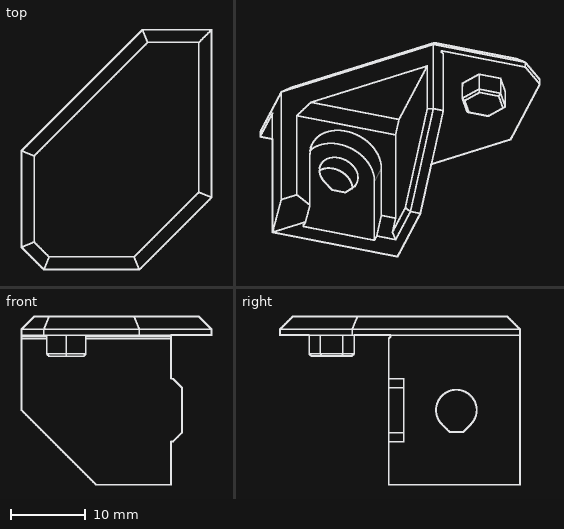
import cadquery as cq
import math

LENGTH_X = 25.4
LENGTH_Y = 32.05
HEIGHT = 22.5

PLATE_THICKNESS = 2.5
PLATE_CHAMFER = 1.7
LEFT_CORNER_CUT = 3.0
RIGHT_CORNER_CUT = 9.65
SLANT_CUT = 16.15
SLANT_START_Y = LENGTH_Y - SLANT_CUT
PLATE_BOTTOM = HEIGHT - PLATE_THICKNESS

BRACKET_X = 20.0
BRACKET_FRONT_Y = 14.5
BRACKET_CORNER_CUT = 10.0
WEB_THICKNESS = 2.05
WEB_INNER_Y = BRACKET_FRONT_Y + WEB_THICKNESS
WEB_CHAMFER = WEB_INNER_Y - SLANT_START_Y

RELIEF_DEPTH = 0.25
RELIEF_STRAIGHT = 0.2

WALL_X = 14.5
CEILING_Z = 17.5
CEILING_BEVEL = 1.5
WALL_FOOT_BEVEL = 2.0
SLANT_FOOT_BEVEL = 2.7

HOLE_Y = 23.55
HOLE_Z = 10.0
HOLE_RADIUS = 2.7
HOLE_FLAT_DROP = 2.9
RECESS_RADIUS = 5.0
RECESS_FLOOR_X = 17.5

TONGUE_LENGTH = 1.45
TONGUE_BEVEL = 1.2
TONGUE_HALF_HEIGHT = 4.2

PEG_X = 6.0
PEG_Y = 6.9
PEG_DIAMETER = 6.05
PEG_LENGTH = 2.8
PEG_CHAMFER = 0.3


def extrude_xz(points, y_start, y_end):
    """Extrude an X-Z outline along +Y."""
    plane = cq.Plane(origin=(0, y_start, 0), xDir=(1, 0, 0), normal=(0, -1, 0))
    return cq.Workplane(plane).polyline(points).close().extrude(y_start - y_end)


def hole_plane():
    """Workplane across the hole axis at X = 0, with its origin on that axis."""
    return cq.Workplane("YZ", origin=(0, HOLE_Y, HOLE_Z))


def footprint_prism(z_bottom, z_top):
    """The plate outline, extruded between two heights."""
    outline = [
        (LEFT_CORNER_CUT, 0),
        (LENGTH_X - RIGHT_CORNER_CUT, 0),
        (LENGTH_X, RIGHT_CORNER_CUT),
        (LENGTH_X, LENGTH_Y),
        (SLANT_CUT, LENGTH_Y),
        (0, SLANT_START_Y),
        (0, LEFT_CORNER_CUT),
    ]
    return (
        cq.Workplane("XY", origin=(0, 0, z_bottom))
        .polyline(outline)
        .close()
        .extrude(z_top - z_bottom)
    )


def make_plate():
    return footprint_prism(PLATE_BOTTOM, HEIGHT).faces(">Z").chamfer(PLATE_CHAMFER)


def make_web():
    """Front sheet of the bracket, with its inner lower edges chamfered."""
    outline = [
        (0, PLATE_BOTTOM),
        (0, BRACKET_CORNER_CUT),
        (BRACKET_CORNER_CUT, 0),
        (BRACKET_X, 0),
        (BRACKET_X, PLATE_BOTTOM),
    ]
    web = extrude_xz(outline, BRACKET_FRONT_Y, WEB_INNER_Y)
    half_cut = BRACKET_CORNER_CUT / 2
    slope_edge = cq.selectors.NearestToPointSelector((half_cut, WEB_INNER_Y, half_cut))
    bottom_edge = cq.selectors.NearestToPointSelector(
        ((BRACKET_CORNER_CUT + BRACKET_X) / 2, WEB_INNER_Y, 0)
    )
    web = web.edges(slope_edge + bottom_edge).chamfer(WEB_CHAMFER)

    relief_profile = [
        (BRACKET_FRONT_Y, PLATE_BOTTOM),
        (BRACKET_FRONT_Y + RELIEF_DEPTH, PLATE_BOTTOM),
        (BRACKET_FRONT_Y + RELIEF_DEPTH, PLATE_BOTTOM - RELIEF_STRAIGHT),
        (BRACKET_FRONT_Y, PLATE_BOTTOM - RELIEF_STRAIGHT - RELIEF_DEPTH),
    ]
    relief = cq.Workplane("YZ").polyline(relief_profile).close().extrude(BRACKET_X)
    return web.cut(relief)


def make_tongue():
    """Bevelled tongue that extends the web past the bracket's +X end."""
    tip_x = BRACKET_X + TONGUE_LENGTH
    bevel_x = tip_x - TONGUE_BEVEL
    tip_half_height = TONGUE_HALF_HEIGHT - TONGUE_BEVEL
    outline = [
        (BRACKET_X, HOLE_Z - TONGUE_HALF_HEIGHT),
        (bevel_x, HOLE_Z - TONGUE_HALF_HEIGHT),
        (tip_x, HOLE_Z - tip_half_height),
        (tip_x, HOLE_Z + tip_half_height),
        (bevel_x, HOLE_Z + TONGUE_HALF_HEIGHT),
        (BRACKET_X, HOLE_Z + TONGUE_HALF_HEIGHT),
    ]
    return extrude_xz(outline, BRACKET_FRONT_Y, WEB_INNER_Y)


def make_wall(y_start, y_end, foot_bevel):
    """Pocket back wall and ceiling, with an optional bevel along the wall's foot."""
    foot = [(WALL_X, 0)]
    if foot_bevel > 0:
        foot = [(WALL_X, foot_bevel), (WALL_X + foot_bevel, 0)]
    outline = [
        (0, PLATE_BOTTOM),
        (0, CEILING_Z),
        (WALL_X - CEILING_BEVEL, CEILING_Z),
        (WALL_X, CEILING_Z - CEILING_BEVEL),
        *foot,
        (BRACKET_X, 0),
        (BRACKET_X, PLATE_BOTTOM),
    ]
    return extrude_xz(outline, y_start, y_end)


def slant_foot_cutter():
    """Triangular bar along the bottom edge of the slanted side, from the hole axis outwards."""
    plane = cq.Plane(origin=(0, SLANT_START_Y, 0), xDir=(1, -1, 0), normal=(-1, -1, 0))
    slant_length = SLANT_CUT * math.sqrt(2)
    profile = [(0, 0), (SLANT_FOOT_BEVEL, 0), (0, SLANT_FOOT_BEVEL)]
    bar_length = slant_length + SLANT_FOOT_BEVEL
    bar = cq.Workplane(plane).polyline(profile).close().extrude(-bar_length)
    beyond_hole = cq.Workplane("XY", origin=(0, HOLE_Y, 0)).box(
        LENGTH_X, LENGTH_Y, HEIGHT, centered=False
    )
    return bar.intersect(beyond_hole)


def make_bracket():
    bracket = make_web()
    bracket = bracket.union(make_wall(SLANT_START_Y, HOLE_Y, WALL_FOOT_BEVEL))
    bracket = bracket.union(make_wall(HOLE_Y, LENGTH_Y, 0))
    bracket = bracket.intersect(footprint_prism(0, PLATE_BOTTOM))
    return bracket.cut(slant_foot_cutter()).union(make_tongue())


def recess_cutter():
    """Round-topped recess in the wall, open at the bottom."""
    return (
        hole_plane()
        .moveTo(-RECESS_RADIUS, -HOLE_Z)
        .lineTo(-RECESS_RADIUS, 0)
        .threePointArc((0, RECESS_RADIUS), (RECESS_RADIUS, 0))
        .lineTo(RECESS_RADIUS, -HOLE_Z)
        .close()
        .extrude(RECESS_FLOOR_X)
    )


def hole_cutter():
    """Through hole whose lower side runs down at 45 degrees to a flat."""
    tangent = HOLE_RADIUS / math.sqrt(2)
    half_flat = HOLE_RADIUS * math.sqrt(2) - HOLE_FLAT_DROP
    return (
        hole_plane()
        .moveTo(-tangent, -tangent)
        .threePointArc((0, HOLE_RADIUS), (tangent, -tangent))
        .lineTo(half_flat, -HOLE_FLAT_DROP)
        .lineTo(-half_flat, -HOLE_FLAT_DROP)
        .close()
        .extrude(LENGTH_X)
    )


def make_peg():
    """Hexagonal peg with two corners on the Y axis and a chamfered tip."""
    peg = (
        cq.Workplane("XY", origin=(PEG_X, PEG_Y, PLATE_BOTTOM))
        .transformed(rotate=(0, 0, 90))
        .polygon(6, PEG_DIAMETER)
        .extrude(-PEG_LENGTH)
    )
    return peg.faces("<Z").chamfer(PEG_CHAMFER)


result = make_plate().union(make_bracket()).union(make_peg())
result = result.cut(recess_cutter()).cut(hole_cutter())